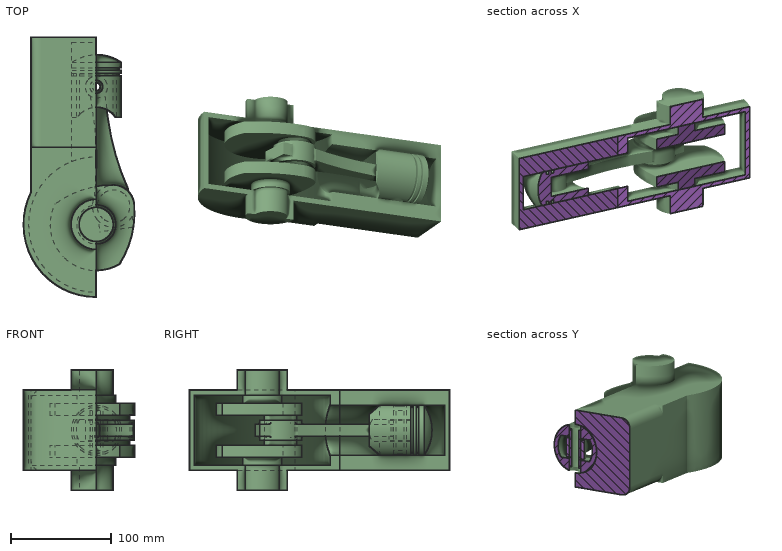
import cadquery as cq
import math


crank_throw = 25.0
crank_angle = 43.0
rod_length = 120.0

crank_pin_x = crank_throw * math.sin(math.radians(crank_angle))
crank_pin_y = crank_throw * math.cos(math.radians(crank_angle))
wrist_pin_y = crank_pin_y + math.sqrt(rod_length**2 - crank_pin_x**2)
rod_tilt = math.degrees(math.asin(crank_pin_x / rod_length))

shaft_radius = 17.0
shaft_half_height = 60.0
hub_radius = 19.5
hub_half_height = 35.0
web_half_height = 27.0
web_gap_half = 15.0
crank_pin_radius = 16.25
web_end_radius = 21.0
web_end_half_angle = 42.0
counterweight_radius = 46.0
counterweight_half_angle = 73.5

rod_end_half_thickness = 10.0
rod_shank_half_thickness = 6.0
big_end_radius = 21.0
small_end_radius = 11.0
shoulder_half_width = 17.0
shoulder_offset = 15.0
cap_offset = 23.3
shank_half_width = 7.25
shank_straight_offset = 85.0
shank_fillet = 1.5

bore_radius = 25.0
piston_radius = bore_radius
crown_offset = 24.25
dome_radius = 44.0
skirt_offset = -30.4
ring_groove_offsets = (17.75, 12.0)
ring_groove_width = 2.5
ring_groove_depth = 2.0
skirt_arch_radius = 23.3
skirt_arch_rise = 10.1
piston_pocket_radius = 20.0
piston_pocket_top_offset = 13.0
piston_pocket_half_height = 11.0
wrist_pin_radius = 6.5
wrist_pin_bore_radius = 4.0
wrist_pin_length = 40.0

block_half_height = 40.0
block_half_width = 65.0
crankcase_radius = 72.5
wall = block_half_height - hub_half_height
bearing_boss_radius = 25.0
deck_y = 77.0
head_y = 186.5
cylinder_fillet = 10.0


def z_cylinder(radius, half_height):
    """Cylinder about the crank axis, centred on the mid plane."""
    return cq.Workplane("XY").circle(radius).extrude(half_height, both=True)


def y_cylinder(radius, start_y, end_y):
    """Cylinder about the cylinder axis between two heights along Y."""
    plane = cq.Workplane("XZ", origin=(0, start_y, 0))
    return plane.circle(radius).extrude(start_y - end_y)


def keep_left_half(body):
    """The part of a body on the -X side of the cutting plane."""
    size = 2 * head_y
    left_side = cq.Workplane("XY").box(size, 2 * size, size).translate((-size / 2, 0, 0))
    return body.intersect(left_side)


def make_crankcase():
    """Crankcase half: round case, square neck to the deck and a bearing boss at each end."""
    case = z_cylinder(crankcase_radius, block_half_height)
    neck = cq.Workplane("XY").rect(2 * block_half_width, deck_y, centered=(True, False))
    case = case.union(neck.extrude(block_half_height, both=True))
    case = case.union(z_cylinder(bearing_boss_radius, shaft_half_height))
    case = case.cut(z_cylinder(crankcase_radius - wall, hub_half_height))
    case = case.cut(y_cylinder(bore_radius, 0, deck_y))
    case = case.cut(z_cylinder(shaft_radius, shaft_half_height))
    return keep_left_half(case)


def make_cylinder():
    """Cylinder half: square barrel with a bore closed at the head."""
    length = head_y - deck_y
    barrel = cq.Workplane("XY").box(2 * block_half_width, length, 2 * block_half_height)
    barrel = barrel.edges("|Y").fillet(cylinder_fillet)
    barrel = barrel.translate((0, deck_y + length / 2, 0))
    barrel = barrel.cut(y_cylinder(bore_radius, deck_y, head_y - wall))
    return keep_left_half(barrel)


def polar(radius, angle):
    """Point at an angle in degrees from the +Y axis, positive towards +X."""
    return radius * math.sin(math.radians(angle)), radius * math.cos(math.radians(angle))


def mirrored(point):
    """Point reflected across the Y axis."""
    return -point[0], point[1]


def make_web():
    """Crank web with the crank pin on +Y: a round end, two convex flanks and a counterweight arc."""
    normal_x, normal_y = polar(1, web_end_half_angle)
    flank_start = (web_end_radius * normal_x, crank_throw + web_end_radius * normal_y)
    flank_end = polar(counterweight_radius, 180 - counterweight_half_angle)
    chord_x = flank_start[0] - flank_end[0]
    chord_y = flank_start[1] - flank_end[1]
    flank_radius = (chord_x**2 + chord_y**2) / (2 * (normal_x * chord_x + normal_y * chord_y))
    centre_x = flank_start[0] - flank_radius * normal_x
    centre_y = flank_start[1] - flank_radius * normal_y
    end_angle = math.degrees(math.atan2(flank_end[0] - centre_x, flank_end[1] - centre_y))
    offset_x, offset_y = polar(flank_radius, (web_end_half_angle + end_angle) / 2)
    flank_middle = (centre_x + offset_x, centre_y + offset_y)

    return (
        cq.Workplane("XY")
        .moveTo(*mirrored(flank_start))
        .threePointArc((0, crank_throw + web_end_radius), flank_start)
        .threePointArc(flank_middle, flank_end)
        .threePointArc((0, -counterweight_radius), mirrored(flank_end))
        .threePointArc(mirrored(flank_middle), mirrored(flank_start))
        .close()
        .extrude(web_half_height, both=True)
    )


def make_crankshaft():
    """Crankshaft built with the crank pin on +Y, then turned to the crank angle."""
    shaft = z_cylinder(shaft_radius, shaft_half_height)
    shaft = shaft.union(z_cylinder(hub_radius, hub_half_height)).union(make_web())
    web_gap_radius = 2 * counterweight_radius
    shaft = shaft.cut(z_cylinder(web_gap_radius, web_gap_half))
    shaft = shaft.union(z_cylinder(crank_pin_radius, web_gap_half).translate((0, crank_throw, 0)))
    return shaft.rotate((0, 0, 0), (0, 0, 1), -crank_angle)


def make_shank():
    """Rod shank and cap along +Y: square shoulders flaring in along arcs to a parallel neck."""
    run = shank_straight_offset - shoulder_offset
    rise = shoulder_half_width - shank_half_width
    flare_radius = (run**2 + rise**2) / (2 * rise)
    flare_middle_x = shank_half_width + flare_radius - math.sqrt(flare_radius**2 - (run / 2) ** 2)
    flare_middle = (flare_middle_x, shoulder_offset + run / 2)
    cap_corner = (shoulder_half_width, -cap_offset)
    shoulder = (shoulder_half_width, shoulder_offset)
    neck_start = (shank_half_width, shank_straight_offset)
    neck_end = (shank_half_width, rod_length)
    return (
        cq.Workplane("XY")
        .moveTo(*mirrored(cap_corner))
        .lineTo(*cap_corner)
        .lineTo(*shoulder)
        .threePointArc(flare_middle, neck_start)
        .lineTo(*neck_end)
        .lineTo(*mirrored(neck_end))
        .lineTo(*mirrored(neck_start))
        .threePointArc(mirrored(flare_middle), mirrored(shoulder))
        .close()
        .extrude(rod_shank_half_thickness, both=True)
    )


def fillet_big_end(rod):
    """Rounds the inner corners where the shank and cap meet the big end."""
    margin = 1.0
    reach_z = rod_shank_half_thickness + margin
    arc_box = cq.selectors.BoxSelector(
        (-big_end_radius, -big_end_radius, -reach_z), (big_end_radius, big_end_radius, reach_z)
    )
    corner_x = shoulder_half_width + margin
    corner_y = math.sqrt(big_end_radius**2 - shoulder_half_width**2) + margin
    corner_box = cq.selectors.BoxSelector(
        (-corner_x, -corner_y, -margin), (corner_x, corner_y, margin)
    )
    arcs = rod.edges("%CIRCLE").edges(arc_box)
    corners = rod.edges("|Z").edges(corner_box)
    return rod.newObject(arcs.vals() + corners.vals()).fillet(shank_fillet)


def make_connecting_rod():
    """Rod built along +Y with the crank pin at the origin, then tilted into place."""
    rod = make_shank().union(z_cylinder(big_end_radius, rod_end_half_thickness))
    rod = fillet_big_end(rod)
    small_end = z_cylinder(small_end_radius, rod_end_half_thickness)
    rod = rod.union(small_end.translate((0, rod_length, 0)))
    rod = rod.cut(z_cylinder(crank_pin_radius, rod_end_half_thickness))
    rod = rod.cut(z_cylinder(wrist_pin_radius, rod_end_half_thickness).translate((0, rod_length, 0)))
    rod = rod.rotate((0, 0, 0), (0, 0, 1), rod_tilt)
    return rod.translate((crank_pin_x, crank_pin_y, 0))


def make_piston():
    """Domed piston built with the wrist pin at the origin, then raised into place."""
    dome_rise = dome_radius - math.sqrt(dome_radius**2 - piston_radius**2)
    piston = (
        cq.Workplane("XY")
        .moveTo(0, skirt_offset)
        .lineTo(piston_radius, skirt_offset)
        .lineTo(piston_radius, crown_offset)
        .radiusArc((0, crown_offset + dome_rise), -dome_radius)
        .close()
        .revolve(360, (0, 0, 0), (0, 1, 0))
    )
    for offset in ring_groove_offsets:
        bottom = offset - ring_groove_width / 2
        top = offset + ring_groove_width / 2
        ring = y_cylinder(2 * piston_radius, bottom, top)
        ring = ring.cut(y_cylinder(piston_radius - ring_groove_depth, bottom, top))
        piston = piston.cut(ring)
    arch_y = skirt_offset + skirt_arch_rise - skirt_arch_radius
    piston = piston.cut(z_cylinder(skirt_arch_radius, piston_radius).translate((0, arch_y, 0)))
    pocket = y_cylinder(piston_pocket_radius, skirt_offset, piston_pocket_top_offset)
    slab_size = 4 * piston_radius
    slab = cq.Workplane("XY").box(slab_size, slab_size, 2 * piston_pocket_half_height)
    pocket = pocket.intersect(slab)
    piston = piston.cut(pocket)
    piston = piston.cut(z_cylinder(wrist_pin_radius, piston_radius))
    return piston.translate((0, wrist_pin_y, 0))


def make_wrist_pin():
    """Hollow pin joining the piston and the rod."""
    pin = z_cylinder(wrist_pin_radius, wrist_pin_length / 2)
    pin = pin.cut(z_cylinder(wrist_pin_bore_radius, wrist_pin_length / 2))
    return pin.translate((0, wrist_pin_y, 0))


crankcase = make_crankcase()
cylinder = make_cylinder()
crankshaft = make_crankshaft()
connecting_rod = make_connecting_rod()
piston = make_piston()
wrist_pin = make_wrist_pin()

bodies = [crankcase, cylinder, crankshaft, connecting_rod, piston, wrist_pin]
result = cq.Compound.makeCompound([body.solids().val() for body in bodies])